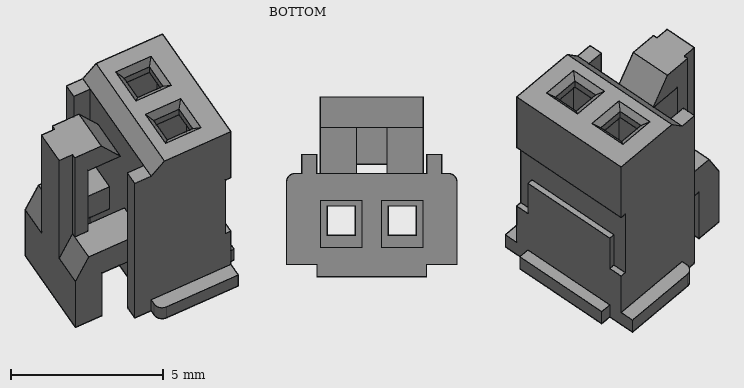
import cadquery as cq


height = 7.8
body_width = 4.6
body_front = 2.5
body_back = 5.5
top_chamfer = 0.5

rail_width = 0.5
rail_front = 1.89
rail_height = height - top_chamfer

flange_height = 0.6
side_flange_reach = 0.5
side_flange_radius = 0.3
rear_flange_width = 3.6
part_depth = 5.9

notch_depth = 0.2
notch_bottom = 2.4
notch_top = 5.3
block_top = 3.9
block_width = rear_flange_width

cavity_pitch = 2.0
cavity_center_y = 4.055
mouth_width = 1.365
mouth_length = 1.325
mouth_depth = 0.195
throat_width = 0.91
throat_length = 0.95
throat_depth = 0.3
chamber_back = 4.94
chamber_front = cavity_center_y - mouth_length / 2
chamber_height = height - mouth_depth - throat_depth

latch_thickness = 1.0
latch_base_width = 3.385
arm_bottom = 2.31
arm_top = 3.51
arm_gap = 1.0
base_step = 0.5
base_slope_bottom = 2.495
beam_width = 1.505
rib_width = 1.2
hook_tip = 2.215
hook_top_back = 1.5
hook_bottom = 6.785


def box(width, y_front, y_back, z_bottom, z_top, x_center=0.0):
    """Box centred on x_center, spanning the given Y and Z ranges."""
    return (
        cq.Workplane("XY", origin=(x_center, (y_front + y_back) / 2, z_bottom))
        .rect(width, y_back - y_front)
        .extrude(z_top - z_bottom)
    )


def profile(points, width):
    """Side outline of (y, z) points, extruded evenly about X = 0."""
    return cq.Workplane("YZ").polyline(points).close().extrude(width / 2, both=True)


def make_body():
    outline = [
        (body_front, 0),
        (body_back, 0),
        (body_back, height),
        (body_front + top_chamfer, height),
        (body_front, height - top_chamfer),
    ]
    body = profile(outline, body_width)
    for side in (-1, 1):
        rail_x = side * (body_width - rail_width) / 2
        body = body.union(box(rail_width, rail_front, body_front, 0, rail_height, rail_x))
    return body


def make_notch():
    notch_floor = body_back - notch_depth
    notch = box(body_width, notch_floor, body_back, notch_bottom, notch_top)
    return notch.cut(box(block_width, notch_floor, body_back, notch_bottom, block_top))


def make_flanges():
    side_flanges = box(body_width + 2 * side_flange_reach, body_front, body_back, 0, flange_height)
    side_flanges = side_flanges.edges("|Z and <Y").fillet(side_flange_radius)
    return side_flanges.union(box(rear_flange_width, body_back, part_depth, 0, flange_height))


def make_cavity(x_center):
    mouth = (
        cq.Workplane("XY", origin=(x_center, cavity_center_y, height))
        .rect(mouth_width, mouth_length)
        .workplane(offset=-mouth_depth)
        .rect(throat_width, throat_length)
        .loft(ruled=True)
    )
    throat_front = cavity_center_y - throat_length / 2
    throat_back = cavity_center_y + throat_length / 2
    throat = box(throat_width, throat_front, throat_back, 0, height - mouth_depth, x_center)
    chamber = box(mouth_width, chamber_front, chamber_back, 0, chamber_height, x_center)
    return mouth.union(throat).union(chamber)


def make_latch():
    base_outline = [
        (0, 0),
        (latch_thickness, 0),
        (latch_thickness, arm_bottom),
        (body_front, arm_bottom),
        (body_front, arm_top),
        (base_step, arm_top),
        (0, base_slope_bottom),
    ]
    beam_outline = [
        (base_step, arm_bottom),
        (latch_thickness, arm_bottom),
        (latch_thickness, hook_bottom),
        (hook_tip, hook_bottom),
        (hook_top_back, height),
        (base_step, height),
    ]
    gap = box(arm_gap, latch_thickness, body_front, arm_bottom, arm_top)
    base = profile(base_outline, latch_base_width).cut(gap)
    beam = profile(beam_outline, beam_width)
    rib = box(rib_width, 0, latch_thickness, 0, height)
    return base.union(beam).union(rib)


housing = make_body().union(make_flanges()).cut(make_notch())
for side in (-1, 1):
    housing = housing.cut(make_cavity(side * cavity_pitch / 2))

result = housing.union(make_latch())